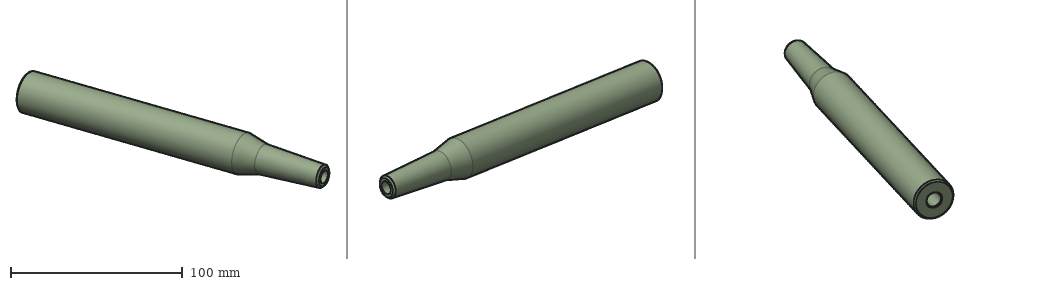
import cadquery as cq

length = 203.2
shoulder_start = 147.5
shoulder_end = 161.1

shank_diameter = 25.5
neck_diameter = 18.5
tip_diameter = 14.2

shank_chamfer = 1.0
tip_chamfer = 1.2

through_diameter = 8.0
socket_diameter = 9.0
socket_mouth_diameter = 10.2
socket_depth = 30.5

shank_end = -length / 2
tip_end = length / 2
shank_radius = shank_diameter / 2
tip_radius = tip_diameter / 2
socket_radius = socket_diameter / 2
mouth_chamfer = (socket_mouth_diameter - socket_diameter) / 2


def turn(profile):
    """Revolve a closed (x, radius) profile around the X axis."""
    return cq.Workplane("XY").polyline(profile).close().revolve(360, (0, 0, 0), (1, 0, 0))


body = turn([
    (shank_end, 0),
    (shank_end, shank_radius - shank_chamfer),
    (shank_end + shank_chamfer, shank_radius),
    (shank_end + shoulder_start, shank_radius),
    (shank_end + shoulder_end, neck_diameter / 2),
    (tip_end - tip_chamfer, tip_radius),
    (tip_end, tip_radius - tip_chamfer),
    (tip_end, 0),
])

bore = turn([
    (shank_end, 0),
    (shank_end, socket_mouth_diameter / 2),
    (shank_end + mouth_chamfer, socket_radius),
    (shank_end + socket_depth, socket_radius),
    (shank_end + socket_depth, through_diameter / 2),
    (tip_end, through_diameter / 2),
    (tip_end, 0),
])

result = body.cut(bore)